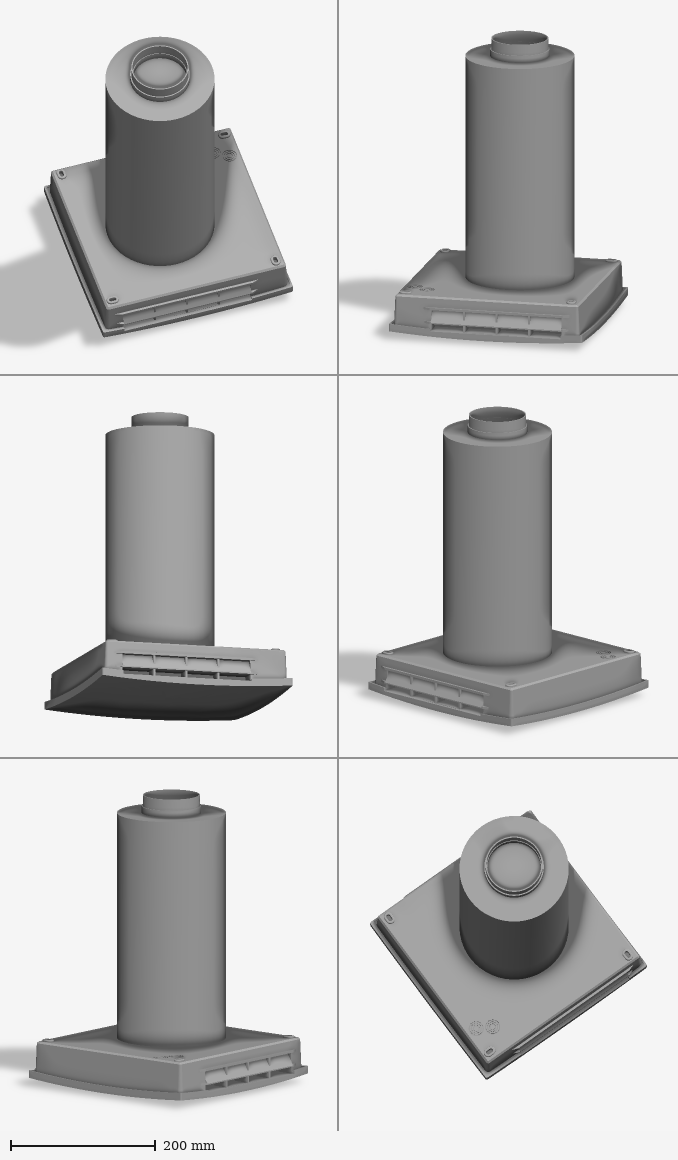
import cadquery as cq

total_height = 404.0
flange_side = 275.0
flange_corner = 2.5
flange_thickness = 10.5
dome_sag = 6.0

rim_width = 3.0
rim_height = 1.2

body_top_z = 63.0
body_top_side = 260.2
body_draft_angle = 2.5
body_corner = 3.2
body_top_chamfer = 2.5

duct_x, duct_y = 7.0, -14.5
duct_radius = 75.5
duct_top_z = 379.0
duct_embed = 4.0
collar_radius = 41.2
collar_top_z = 388.7
spigot_radius = 39.5
spigot_bore_radius = 38.0
collar_bore_radius = 37.0

outlet_y_min, outlet_y_max = -107.0, 78.0
outlet_floor_z = 15.5
outlet_depth_x = 109.0
blade_bottom_z = 25.5
blade_top_z = 28.5
blade_lip_z = 27.0
blade_reach = 135.5
hood_bottom_z = 45.0
hood_top_z = 48.0
hood_reach = 134.0
ramp_inner_x = 123.5
fin_root_x = 130.0
fin_overhang = 2.0
fin_taper = 11.5
rib_thickness = 2.5
rib_face_x = 131.7
rib_count = 3

boss_offset = 118.0
boss_length, boss_width = 17.0, 12.0
boss_height = 2.5
boss_rounding = 1.2
slot_length, slot_width = 10.5, 5.5
slot_depth = 6.0

grommet_centres = [(-80.5, 113.5), (-91.7, 93.7)]
grommet_radius = 10.5
groove_width = 1.5
groove_pitch = 3.0
groove_depth = 1.2
groove_count = 3

flange_half = flange_side / 2
dome_radius = (flange_half**2 + dome_sag**2) / (2 * dome_sag)


def square_prism(side, corner, bottom, top):
    prism = cq.Workplane("XY").workplane(offset=bottom).rect(side, side).extrude(top - bottom)
    return prism.edges("|Z").fillet(corner)


def dome_ball(lowest_z):
    """Large ball whose lowest point lies on the Z axis at the given height."""
    return cq.Workplane("XY").sphere(dome_radius).translate((0, 0, lowest_z + dome_radius))


def cylinder(x, y, radius, bottom, top):
    return cq.Workplane("XY").workplane(offset=bottom).center(x, y).circle(radius).extrude(top - bottom)


def make_flange():
    slab = square_prism(flange_side, flange_corner, 0, body_top_z)
    inner_side = flange_side - 2 * rim_width
    recess = square_prism(inner_side, flange_corner, 0, body_top_z)
    recess = recess.intersect(dome_ball(flange_thickness - rim_height))
    return slab.cut(dome_ball(flange_thickness)).cut(recess)


def make_body():
    return (
        cq.Workplane("XY").workplane(offset=body_top_z)
        .sketch().rect(body_top_side, body_top_side).vertices().fillet(body_corner).finalize()
        .extrude(-body_top_z, taper=-body_draft_angle)
        .faces(">Z").edges().chamfer(body_top_chamfer)
    )


def make_duct():
    duct = cylinder(duct_x, duct_y, duct_radius, body_top_z - duct_embed, duct_top_z)
    collar = cylinder(duct_x, duct_y, collar_radius, duct_top_z, collar_top_z)
    spigot = cylinder(duct_x, duct_y, spigot_radius, collar_top_z, total_height)
    collar_bore = cylinder(duct_x, duct_y, collar_bore_radius, duct_top_z, collar_top_z)
    spigot_bore = cylinder(duct_x, duct_y, spigot_bore_radius, collar_top_z, total_height)
    return duct.union(collar).union(spigot).cut(collar_bore).cut(spigot_bore)


def make_fin(reach, bottom, top):
    """Horizontal fin on the -X side, tapering to the wall at both ends."""
    full_min, full_max = outlet_y_min - fin_overhang, outlet_y_max + fin_overhang
    outline = [
        (-fin_root_x, full_min - fin_taper),
        (-reach, full_min),
        (-reach, full_max),
        (-fin_root_x, full_max + fin_taper),
    ]
    return cq.Workplane("XY").workplane(offset=bottom).polyline(outline).close().extrude(top - bottom)


def along_y(outline, y_min, y_max):
    """Prism of an XZ outline reaching from y_min to y_max."""
    return cq.Workplane("XZ", origin=(0, y_max, 0)).polyline(outline).close().extrude(y_max - y_min)


upper_opening = [
    (-blade_reach, blade_lip_z),
    (-ramp_inner_x, hood_bottom_z),
    (-flange_half, hood_bottom_z),
    (-flange_half, blade_lip_z),
]
sloping_blade = [
    (-blade_reach, blade_bottom_z),
    (-blade_reach, blade_lip_z),
    (-ramp_inner_x, hood_bottom_z),
    (-ramp_inner_x, blade_bottom_z),
]
lower_opening = [
    (-flange_half, outlet_floor_z),
    (-outlet_depth_x, outlet_floor_z),
    (-outlet_depth_x, blade_bottom_z),
    (-flange_half, blade_bottom_z),
]


def both_sides(shape):
    return shape.union(shape.mirror("YZ"))


def make_fins():
    hood = make_fin(hood_reach, hood_bottom_z, hood_top_z)
    blade = make_fin(blade_reach, blade_bottom_z, blade_top_z)
    return hood.union(blade).union(along_y(sloping_blade, outlet_y_min, outlet_y_max))


def make_openings():
    upper = along_y(upper_opening, outlet_y_min, outlet_y_max)
    return upper.union(along_y(lower_opening, outlet_y_min, outlet_y_max))


def make_ribs():
    ribs = cq.Workplane("XY")
    rib_pitch = (outlet_y_max - outlet_y_min) / (rib_count + 1)
    outline = [
        (-rib_face_x, outlet_floor_z),
        (-outlet_depth_x, outlet_floor_z),
        (-outlet_depth_x, hood_bottom_z),
        (-rib_face_x, hood_bottom_z),
    ]
    for i in range(1, rib_count + 1):
        y = outlet_y_min + i * rib_pitch
        ribs = ribs.union(along_y(outline, y - rib_thickness / 2, y + rib_thickness / 2))
    return ribs


def obround(x, y, length, width, angle, bottom, top):
    return (
        cq.Workplane("XY").workplane(offset=bottom)
        .center(x, y).slot2D(length, width, angle).extrude(top - bottom)
    )


def make_grommet_grooves():
    grooves = cq.Workplane("XY")
    for x, y in grommet_centres:
        for i in range(groove_count):
            outer = grommet_radius - i * groove_pitch
            ring = (
                cq.Workplane("XY").workplane(offset=body_top_z - groove_depth)
                .center(x, y).circle(outer).circle(outer - groove_width).extrude(groove_depth)
            )
            grooves = grooves.union(ring)
    return grooves


housing = make_body().union(make_flange()).intersect(dome_ball(0))
housing = housing.union(both_sides(make_fins())).cut(both_sides(make_openings()))
housing = housing.union(both_sides(make_ribs())).cut(make_grommet_grooves())

boss_top_z = body_top_z + boss_height
for x_sign, y_sign in [(1, 1), (-1, 1), (-1, -1), (1, -1)]:
    x, y = x_sign * boss_offset, y_sign * boss_offset
    angle = 0 if x_sign == y_sign else 90
    boss = obround(x, y, boss_length, boss_width, angle, body_top_z - slot_depth, boss_top_z)
    boss = boss.faces(">Z").edges().fillet(boss_rounding)
    slot = obround(x, y, slot_length, slot_width, angle, boss_top_z - slot_depth, boss_top_z)
    housing = housing.union(boss).cut(slot)

result = housing.union(make_duct())